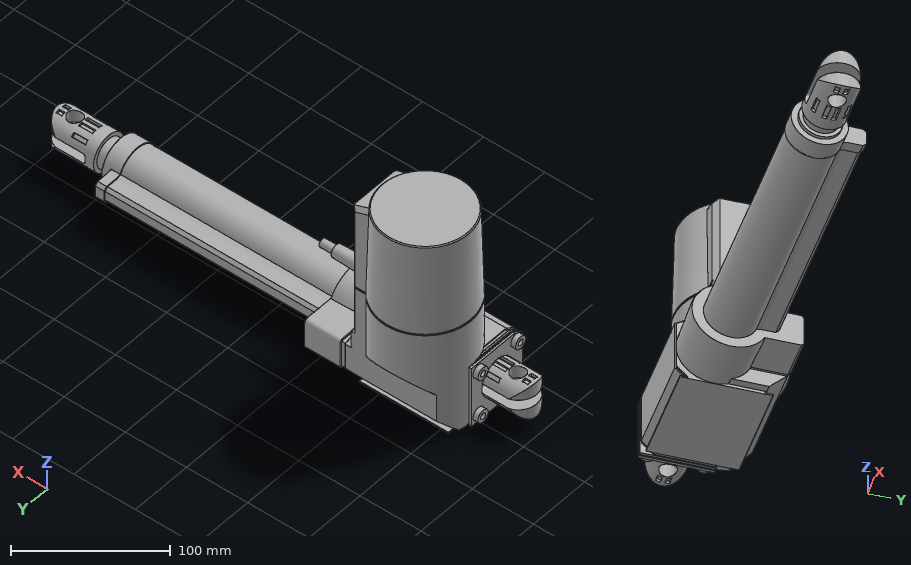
import cadquery as cq
import math

total_length = 392.0

fork_length = 42.5
fork_radius = 15.0
fork_slot_width = 8.2
fork_slot_depth = 35.3
fork_slot_corner = 2.5
eye_radius = 6.0
pocket_start = 21.5
pocket_length = 11.5
pocket_width = 3.0
pocket_depth = 2.0
tip_pocket_start = 3.0
tip_pocket_length = 4.7
eye_pocket_angle = 12
side_pocket_angle = 45

plate_start = 32.0
plate_thickness = 4.7
plate_half = 25.0
gasket_start = 34.0
gasket_thickness = 1.0
gasket_recess = 0.8
screw_offset = 18.5
screw_head_radius = 5.0
screw_head_height = 4.0
socket_radius = 2.5
socket_depth = 3.0

housing_start = plate_start + plate_thickness
housing_end = 112.0
housing_half = 25.0
bevel_long = 8.0
bevel_short = 5.0
groove_width = 2.5
end_groove_width = 1.0
groove_depth = 0.8
housing_rear = 47.0
rear_bevel_top = -10.5
base_front = -22.0
base_rear = 39.0
base_thickness = 1.0

motor_x = 71.5
motor_y = 23.5
motor_radius = 37.2
motor_top_radius = 35.3
motor_seam_z = 64.5
seam_width = 0.8
seam_depth = 0.6
motor_top_z = 138.7
motor_top_chamfer = 0.8
motor_bottom_z = -24.0
motor_bevel_z = 11.8
rear_bevel_foot_y = housing_rear - (rear_bevel_top - motor_bottom_z)

box_front = 0.0
box_rear = 47.0
box_end = 113.0
box_edge = 4.0
slope_chamfer = 3.0
box_inner_x = 95.2
box_inner_top_z = 138.0
box_outer_top_z = 131.5

cable_y = 23.0
cable_z = 57.5
cable_flange_radius = 8.2
cable_flange_start = 114.0
cable_flange_end = 115.2
cable_boot_radius = 6.0
cable_boot_end_radius = 5.0
cable_boot_end = 144.2
cable_radius = 3.35
cable_end = 155.5

collar_end = 149.5
collar_start_radius = 24.5
collar_end_radius = 26.0
collar_lip = 2.5
collar_lip_drop = 0.5
lobe_start = 120.5
lobe_rear = 48.2
lobe_half_height = 12.5
lobe_round = 3.0
lobe_neck_inset = 1.5
flange_end = 117.0
flange_half_height = 22.7
flange_slope_y = 8.5

tube_radius = 18.0
cap_start = 326.0
cap_end = 339.8
cap_radius = 19.0
channel_cap_end = 333.5
channel_rear = 31.7
channel_half_height = 6.3
channel_edge = 2.5
channel_root_y = 20.0
channel_junction_y = 16.5
cap_margin = 0.8
seal_radius = 14.5
seal_end = 342.0
rod_radius = 11.8


def x_cylinder(start, end, radius, y=0.0, z=0.0):
    return cq.Workplane("YZ", origin=(start, y, z)).circle(radius).extrude(end - start)


def x_prism(start, end, points):
    return cq.Workplane("YZ", origin=(start, 0, 0)).polyline(points).close().extrude(end - start)


def block(x_range, y_range, z_range):
    lows, highs = zip(x_range, y_range, z_range)
    size = [high - low for low, high in zip(lows, highs)]
    return cq.Workplane("XY").box(*size, centered=False).translate(lows)


def fork():
    """Slotted clevis with its tip at X = 0, pointing toward -X."""
    body = x_cylinder(0, fork_length, fork_radius)
    outline = (
        cq.Workplane("XY", origin=(0, 0, -fork_radius))
        .moveTo(fork_length, -fork_radius)
        .lineTo(fork_radius, -fork_radius)
        .threePointArc((0, 0), (fork_radius, fork_radius))
        .lineTo(fork_length, fork_radius)
        .close()
        .extrude(2 * fork_radius)
    )
    slot_half = fork_slot_width / 2
    slot = block((0, fork_slot_depth), (-fork_radius, fork_radius), (-slot_half, slot_half))
    slot = slot.edges("|Y and >X").fillet(fork_slot_corner)
    eye = cq.Workplane("XY").center(fork_radius, 0).circle(eye_radius).extrude(2 * fork_radius, both=True)
    body = body.intersect(outline).cut(slot).cut(eye)
    for turn in four_turns(eye_pocket_angle):
        body = body.cut(fork_pocket(tip_pocket_start, tip_pocket_length, turn))
    for turn in four_turns(eye_pocket_angle) + four_turns(side_pocket_angle):
        body = body.cut(fork_pocket(pocket_start, pocket_length, turn))
    return body


def four_turns(angle):
    """The angle and its mirror images about the vertical and horizontal planes."""
    return [angle, -angle, 180 - angle, 180 + angle]


def fork_pocket(start, length, turn):
    """Shallow pocket in the fork surface, turned about X away from the top."""
    pocket = block(
        (start, start + length),
        (-pocket_width / 2, pocket_width / 2),
        (fork_radius - pocket_depth, fork_radius + pocket_depth),
    )
    return pocket.rotate((0, 0, 0), (1, 0, 0), turn)


def bevelled_section(half):
    """Square section with its two -Y corners bevelled, the lower one at 45 degrees."""
    return [
        (-half, half - bevel_short),
        (-half + bevel_long, half),
        (half, half),
        (half, -half),
        (-half + bevel_long, -half),
        (-half, -half + bevel_long),
    ]


def plate_section(half):
    """Square section with only its upper -Y corner bevelled."""
    return [
        (-half, half - bevel_short),
        (-half + bevel_long, half),
        (half, half),
        (half, -half),
        (-half, -half),
    ]


def end_plate():
    gasket_end = gasket_start + gasket_thickness
    cover = x_prism(plate_start, gasket_start, plate_section(plate_half))
    gasket = x_prism(gasket_start, gasket_end, plate_section(plate_half - gasket_recess))
    backing = x_prism(gasket_end, housing_start, plate_section(plate_half))
    plate = cover.union(gasket).union(backing)
    head_start = plate_start - screw_head_height
    places = [(y, z) for y in (-screw_offset, screw_offset) for z in (-screw_offset, screw_offset)]
    heads = (
        cq.Workplane("YZ", origin=(head_start, 0, 0))
        .pushPoints(places)
        .circle(screw_head_radius)
        .extrude(screw_head_height)
    )
    sockets = (
        cq.Workplane("YZ", origin=(head_start, 0, 0))
        .pushPoints(places)
        .circle(socket_radius)
        .extrude(socket_depth)
    )
    return plate.union(heads).cut(sockets)


def housing():
    neck_end = housing_start + groove_width
    neck = x_prism(housing_start, housing_end, bevelled_section(housing_half - groove_depth))
    front = x_prism(neck_end, housing_end - end_groove_width, bevelled_section(housing_half))
    rear_outline = [
        (0, housing_half),
        (housing_rear, housing_half),
        (housing_rear, rear_bevel_top),
        (rear_bevel_foot_y, motor_bottom_z),
        (0, motor_bottom_z),
    ]
    rear = x_prism(motor_x, housing_end, rear_outline)
    base_z = (-housing_half, -housing_half + base_thickness)
    base = block((neck_end, housing_end), (base_front, base_rear), base_z)
    return neck.union(front).union(rear).union(base)


def motor():
    """Upright motor: cylinder with a bevelled rear foot below, slight taper above the seam."""
    lower = (
        cq.Workplane("XY", origin=(motor_x, motor_y, motor_bottom_z))
        .circle(motor_radius)
        .extrude(motor_seam_z - motor_bottom_z)
    )
    motor_rear = motor_y + motor_radius
    side_outline = [
        (motor_y - motor_radius, motor_seam_z),
        (motor_rear, motor_seam_z),
        (motor_rear, motor_bevel_z + motor_rear - housing_rear),
        (housing_rear, motor_bevel_z),
        (housing_rear, rear_bevel_top),
        (rear_bevel_foot_y, motor_bottom_z),
        (motor_y - motor_radius, motor_bottom_z),
    ]
    lower = lower.intersect(x_prism(motor_x - motor_radius, motor_x + motor_radius, side_outline))
    plate_room = block((0, housing_start), (-housing_half, housing_half), (motor_bottom_z, housing_half))
    lower = lower.cut(plate_room)
    upper = (
        cq.Workplane("XY", origin=(motor_x, motor_y, motor_seam_z))
        .circle(motor_radius)
        .workplane(offset=motor_top_z - motor_seam_z)
        .circle(motor_top_radius)
        .loft()
        .faces(">Z")
        .chamfer(motor_top_chamfer)
    )
    seam = (
        cq.Workplane("XY", origin=(motor_x, motor_y, motor_seam_z - seam_width))
        .circle(motor_radius)
        .circle(motor_radius - seam_depth)
        .extrude(seam_width)
    )
    return lower.union(upper).cut(seam)


def wiring_box():
    """Box with a sloping top; its inner side is buried in the motor."""
    body = (
        cq.Workplane("XZ", origin=(0, box_rear, 0))
        .moveTo(box_inner_x, 0)
        .lineTo(box_end, 0)
        .lineTo(box_end, box_outer_top_z)
        .lineTo(box_inner_x, box_inner_top_z)
        .lineTo(box_inner_x, 0)
        .close()
        .extrude(box_rear - box_front)
    )
    slope_middle_x = (box_inner_x + box_end) / 2
    slope_middle_z = (box_inner_top_z + box_outer_top_z) / 2
    for y in (box_front, box_rear):
        slope_edge = cq.NearestToPointSelector((slope_middle_x, y, slope_middle_z))
        body = body.edges(slope_edge).chamfer(slope_chamfer)
    body = body.edges("|Z and >X").chamfer(box_edge)
    seam_z = (motor_seam_z - seam_width, motor_seam_z)
    core_y = (box_front + seam_depth, box_rear - seam_depth)
    seam_core = block((box_inner_x, box_end - seam_depth), core_y, seam_z)
    seam = block((box_inner_x, box_end), (box_front, box_rear), seam_z).cut(seam_core)
    return body.cut(seam)


def cable():
    stem = x_cylinder(housing_end, cable_flange_start, cable_boot_radius, cable_y, cable_z)
    flange = x_cylinder(cable_flange_start, cable_flange_end, cable_flange_radius, cable_y, cable_z)
    boot = (
        cq.Workplane("YZ", origin=(cable_flange_end, cable_y, cable_z))
        .circle(cable_boot_radius)
        .workplane(offset=cable_boot_end - cable_flange_end)
        .circle(cable_boot_end_radius)
        .loft()
    )
    core = x_cylinder(cable_boot_end, cable_end, cable_radius, cable_y, cable_z)
    return stem.union(flange).union(boot).union(core)


def collar():
    """Flared bell around the tube, with a rear lobe and a flange against the housing."""
    lip_start = collar_end - collar_lip
    bell = (
        cq.Workplane("XY")
        .moveTo(housing_end, 0)
        .lineTo(housing_end, collar_start_radius)
        .lineTo(lip_start, collar_end_radius)
        .lineTo(collar_end, collar_end_radius - collar_lip_drop)
        .lineTo(collar_end, 0)
        .close()
        .revolve(360, (0, 0, 0), (1, 0, 0))
    )
    neck_half = lobe_half_height - lobe_neck_inset
    neck = lobe(flange_end, lobe_start, lobe_rear - lobe_neck_inset, neck_half)
    main_lobe = lobe(lobe_start, collar_end, lobe_rear, lobe_half_height)
    flange_bevel_y = housing_rear - flange_half_height - rear_bevel_top
    flange_outline = [
        (0, flange_half_height),
        (flange_slope_y, flange_half_height),
        (housing_rear, -rear_bevel_top),
        (housing_rear, rear_bevel_top),
        (flange_bevel_y, -flange_half_height),
        (0, -flange_half_height),
    ]
    flange = x_prism(housing_end, flange_end, flange_outline)
    main_lobe = main_lobe.edges("|X and >Y and >Z").fillet(lobe_round)
    return bell.union(main_lobe).union(neck).union(flange)


def lobe(start, end, rear, half_height):
    """Block reaching out to the rear, with its lower rear edge bevelled at 45 degrees."""
    body = block((start, end), (0, rear), (-half_height, half_height))
    return body.edges("|X and >Y and <Z").chamfer(half_height + rear_bevel_top)


def channel(start, end, margin):
    """Side channel running along the tube, grown by a margin on its outer faces."""
    rear = channel_rear + margin
    half = channel_half_height + margin
    junction_z = math.sqrt(tube_radius**2 - channel_junction_y**2) + margin
    upper = [
        (0, junction_z),
        (channel_junction_y, junction_z),
        (channel_root_y, half),
        (rear - channel_edge, half),
        (rear, half - channel_edge),
    ]
    lower = [(y, -z) for y, z in reversed(upper)]
    return x_prism(start, end, upper + lower)


def tube():
    body = x_cylinder(housing_end, cap_start, tube_radius)
    body = body.union(channel(housing_end, cap_start, 0))
    cap = x_cylinder(cap_start, cap_end, cap_radius)
    cap = cap.union(channel(cap_start, channel_cap_end, cap_margin))
    seal = x_cylinder(cap_end, seal_end, seal_radius)
    rod = x_cylinder(seal_end, total_length - fork_length, rod_radius)
    return body.union(cap).union(seal).union(rod)


left_fork = fork()
right_fork = left_fork.mirror("YZ").translate((total_length, 0, 0))
fork_seat = x_cylinder(0, fork_length, fork_radius)

result = housing().union(end_plate()).union(motor()).union(wiring_box()).cut(fork_seat)
for piece in (collar(), tube(), cable(), left_fork, right_fork):
    result = result.union(piece)